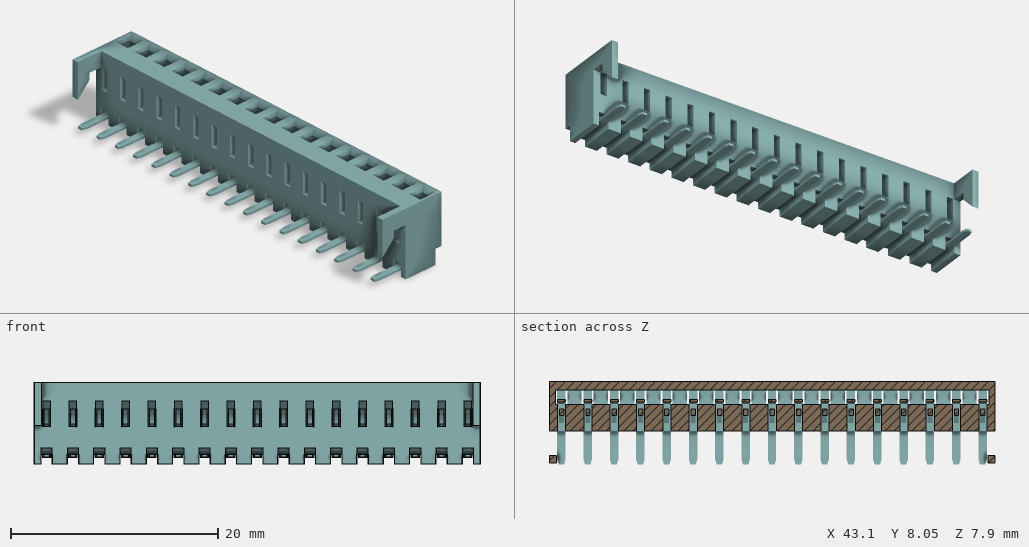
import cadquery as cq
import math


contact_count = 17
pitch = 2.55
row_positions = [(i - (contact_count - 1) / 2) * pitch for i in range(contact_count)]

length = 43.1
height = 7.9
front_y = -4.8
rear_step_depth = 0.78
rear_step_height = 1.8

hook_width = 0.75
hook_reach_y = -7.9
hook_arm_height = 1.8
hook_inner_y = -6.35
hook_tip_z = 3.7
barb_radius = 0.65

throat_length = 1.15
throat_rear_y = -0.85
throat_front_y = -2.2
mouth_length = 1.85
mouth_rear_y = -0.3
mouth_front_y = -2.55
lead_in_depth = 0.45

roof_thickness = 0.85
chamber_floor_z = 1.8

window_width = 0.75
window_bottom_z = 3.6
window_top_z = 6.07

channel_width = 1.08
channel_height = 0.9
channel_mouth_height = 1.55
lip_radius = channel_mouth_height - channel_height
mouth_recess = 0.65

strip_thickness = 0.25
contact_width = 0.8
tail_tip_y = -8.05
tail_tip_width = 0.5
tail_taper_length = 0.5
riser_rear_y = -0.9
riser_top_z = 3.05
tang_width = 0.47
apex_y = throat_front_y
apex_z = 5.3
apex_underside_z = apex_z - 2 * strip_thickness
tang_nose_y = -4.05
tang_nose_z = 3.88
tang_foot_y = -3.85


def block(x_min, x_max, y_min, y_max, z_min, z_max):
    size = (x_max - x_min, y_max - y_min, z_max - z_min)
    return cq.Workplane("XY").box(*size, centered=False).translate((x_min, y_min, z_min))


def side_prism(outline, width):
    """Extrude a closed (Y, Z) sketch symmetrically about X = 0."""
    return outline.close().extrude(width / 2, both=True)


def housing_body():
    outline = cq.Workplane("YZ").polyline([
        (0, height),
        (0, rear_step_height),
        (-rear_step_depth, rear_step_height),
        (-rear_step_depth, 0),
        (front_y, 0),
        (front_y, height),
    ])
    return side_prism(outline, length)


def latch_hook():
    """Arm reaching forward from the front face, ending in a 45 degree barb."""
    arm_bottom_z = height - hook_arm_height
    barb_start_z = hook_tip_z + (hook_inner_y - hook_reach_y)
    outline = (
        cq.Workplane("YZ")
        .moveTo(front_y, height)
        .lineTo(hook_reach_y, height)
        .lineTo(hook_reach_y, hook_tip_z)
        .lineTo(hook_inner_y, barb_start_z)
        .lineTo(hook_inner_y, arm_bottom_z)
        .lineTo(front_y, arm_bottom_z)
    )
    hook = side_prism(outline, hook_width)
    barb_corner = cq.selectors.NearestToPointSelector((0, hook_inner_y, barb_start_z))
    return hook.edges("|X").edges(barb_corner).fillet(barb_radius)


def entry_opening():
    throat = block(
        -throat_length / 2, throat_length / 2,
        throat_front_y, throat_rear_y,
        0, height,
    )
    throat_center_y = (throat_front_y + throat_rear_y) / 2
    mouth_center_y = (mouth_front_y + mouth_rear_y) / 2
    lead_in = (
        cq.Workplane("XY", origin=(0, mouth_center_y, height))
        .rect(mouth_length, mouth_rear_y - mouth_front_y)
        .workplane(offset=-lead_in_depth)
        .center(0, throat_center_y - mouth_center_y)
        .rect(throat_length, throat_rear_y - throat_front_y)
        .loft(ruled=True)
    )
    return throat.union(lead_in)


def inner_chamber():
    half_length = row_positions[-1] + throat_length / 2
    return block(
        -half_length, half_length,
        throat_front_y, throat_rear_y,
        chamber_floor_z, height - roof_thickness,
    )


def front_window():
    return block(
        -window_width / 2, window_width / 2,
        front_y, throat_rear_y,
        window_bottom_z, window_top_z,
    )


def tail_channel():
    """Full-depth channel whose front mouth rises over a convex rounded lip."""
    lip_front_y = front_y + mouth_recess
    arc_mid = lip_radius * math.cos(math.pi / 4)
    outline = (
        cq.Workplane("YZ")
        .moveTo(front_y, 0)
        .lineTo(front_y, channel_mouth_height)
        .lineTo(lip_front_y, channel_mouth_height)
        .threePointArc(
            (lip_front_y + lip_radius - arc_mid, channel_mouth_height - arc_mid),
            (lip_front_y + lip_radius, channel_height),
        )
        .lineTo(0, channel_height)
        .lineTo(0, 0)
    )
    return side_prism(outline, channel_width)


def contact():
    tail_bottom_z = channel_height - strip_thickness
    tail = (
        cq.Workplane("XY", origin=(0, 0, tail_bottom_z))
        .polyline([
            (-contact_width / 2, riser_rear_y),
            (-contact_width / 2, tail_tip_y + tail_taper_length),
            (-tail_tip_width / 2, tail_tip_y),
            (tail_tip_width / 2, tail_tip_y),
            (contact_width / 2, tail_tip_y + tail_taper_length),
            (contact_width / 2, riser_rear_y),
        ])
        .close()
        .extrude(strip_thickness)
    )
    riser = side_prism(
        cq.Workplane("YZ").polyline([
            (riser_rear_y, tail_bottom_z),
            (riser_rear_y, riser_top_z),
            (apex_y, apex_z),
            (apex_y, apex_underside_z),
            (riser_rear_y - strip_thickness, riser_top_z - strip_thickness / 2),
            (riser_rear_y - strip_thickness, tail_bottom_z),
        ]),
        contact_width,
    )
    tang = side_prism(
        cq.Workplane("YZ").polyline([
            (apex_y, apex_z),
            (tang_nose_y, tang_nose_z),
            (tang_foot_y, window_bottom_z),
            (apex_y, apex_underside_z),
        ]),
        tang_width,
    )
    return tail.union(riser).union(tang)


result = housing_body()

for side in (-1, 1):
    hook_x = side * (length - hook_width) / 2
    result = result.union(latch_hook().translate((hook_x, 0, 0)))

result = result.cut(inner_chamber())

position_opening = entry_opening().union(front_window()).union(tail_channel())
position_contact = contact()
for x in row_positions:
    result = result.cut(position_opening.translate((x, 0, 0)))
    result = result.union(position_contact.translate((x, 0, 0)))